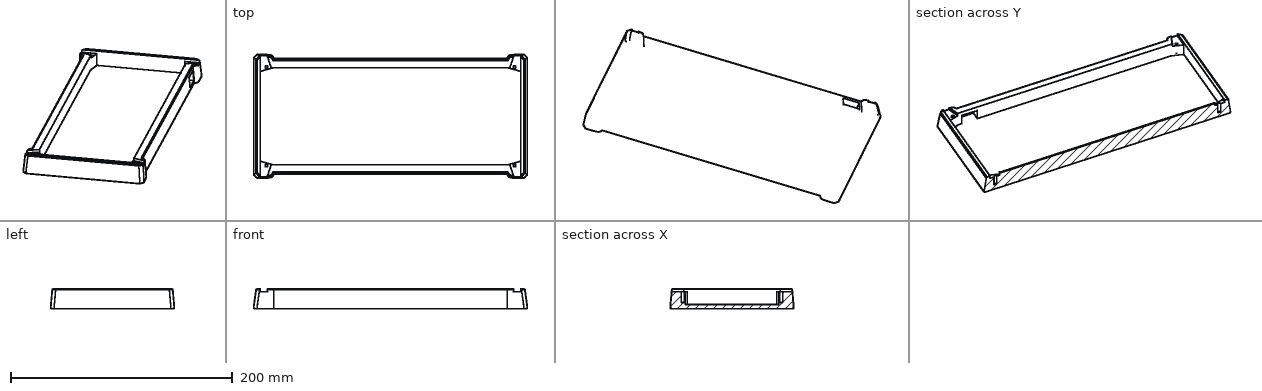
import cadquery as cq
import math

LENGTH = 246.9
WIDTH = 111.5
HEIGHT = 18.0

BASE_FILLET = 1.5
END_DRAFT = 8.0
SIDE_DRAFT = 5.0
CORNER_BEVEL = 3.2
RIM_CHAMFER = 0.86
RECESS_DEPTH = 3.5
RECESS_HALF_LENGTH = 105.2
LUG_SHOULDER = 1.7

FLOOR = 4.0
CAVITY_HALF_LENGTH = 117.3
CAVITY_HALF_WIDTH = 43.7
POST_LENGTH = 11.4
POST_WIDTH = 3.2

PAD_DEPTH = 2.5
PAD_LENGTH_OUTER = 5.7
PAD_LENGTH_INNER = 10.9
HOLE_X = 111.8
HOLE_Y = 44.5
HOLE_DIAMETER = 2.5
HOLE_DEPTH = 9.9

OPENING_START = -103.2
OPENING_LENGTH = 15.5
OPENING_TOP = 13.5

CORNERS = [(sx, sy) for sx in (-1, 1) for sy in (-1, 1)]


def outline(height, half_length, half_width):
    """Closed plan outline of the tray at one height."""
    wall_y = half_width - RECESS_DEPTH
    bevel_x = half_length - CORNER_BEVEL
    bevel_y = half_width - CORNER_BEVEL
    recess_end = (RECESS_HALF_LENGTH, wall_y)
    shoulder = (RECESS_HALF_LENGTH + LUG_SHOULDER, half_width)
    lug_curve = [(bevel_x, half_width), shoulder, shoulder, recess_end]

    sketch = cq.Workplane("XY", origin=(0, 0, height)).moveTo(-half_length, bevel_y)
    for turn in (-1, 1):
        incoming = [(turn * x, turn * y) for x, y in lug_curve]
        outgoing = [(-turn * x, turn * y) for x, y in reversed(lug_curve)]
        sketch = (
            sketch.lineTo(turn * half_length, turn * bevel_y)
            .lineTo(*incoming[0])
            .bezier(incoming)
            .lineTo(*outgoing[0])
            .bezier(outgoing)
            .lineTo(-turn * half_length, turn * bevel_y)
        )
    return sketch.wire()


def sharp_base(half_size, draft):
    """Half size of the unfilleted base so that the filleted wall bulges out to half_size."""
    fillet_setback = BASE_FILLET / math.tan(math.radians(90 - draft) / 2)
    return half_size - BASE_FILLET + fillet_setback


def outer_body():
    """Solid block with drafted walls, a filleted base and a chamfered rim."""
    base_length = sharp_base(LENGTH / 2, END_DRAFT)
    base_width = sharp_base(WIDTH / 2, SIDE_DRAFT)
    top_length = base_length - HEIGHT * math.tan(math.radians(END_DRAFT))
    top_width = base_width - HEIGHT * math.tan(math.radians(SIDE_DRAFT))

    base_wire = outline(0, base_length, base_width).val()
    top_wire = outline(HEIGHT, top_length, top_width).val()
    walls = cq.Workplane(cq.Solid.makeLoft([base_wire, top_wire], True))
    return walls.faces("<Z").edges().fillet(BASE_FILLET).faces(">Z").chamfer(RIM_CHAMFER)


def cavity():
    """Pocket whose four corners are cut off by the corner posts."""
    post_x = CAVITY_HALF_LENGTH - POST_LENGTH
    post_y = CAVITY_HALF_WIDTH - POST_WIDTH
    quarter = [(CAVITY_HALF_LENGTH, post_y), (post_x, CAVITY_HALF_WIDTH)]
    mirrored = [(-x, y) for x, y in reversed(quarter)]
    half = quarter + mirrored
    points = half + [(-x, -y) for x, y in half]
    return cq.Workplane("XY", origin=(0, 0, FLOOR)).polyline(points).close().extrude(HEIGHT)


def corner_pad(sx, sy):
    """Sunken pad on top of a corner post, open to the outside and to the cavity."""
    inner_y = CAVITY_HALF_WIDTH - POST_WIDTH
    outer_y = WIDTH / 2
    points = [
        (CAVITY_HALF_LENGTH, inner_y),
        (CAVITY_HALF_LENGTH, outer_y),
        (CAVITY_HALF_LENGTH - PAD_LENGTH_OUTER, outer_y),
        (CAVITY_HALF_LENGTH - PAD_LENGTH_INNER, inner_y),
    ]
    pad_floor = HEIGHT - PAD_DEPTH
    plane = cq.Workplane("XY", origin=(0, 0, pad_floor))
    pad = plane.polyline([(sx * x, sy * y) for x, y in points]).close().extrude(HEIGHT)
    hole = plane.center(sx * HOLE_X, sy * HOLE_Y).circle(HOLE_DIAMETER / 2).extrude(-HOLE_DEPTH)
    return pad.union(hole)


def wall_opening():
    """Rectangular opening through the +Y wall, level with the cavity floor."""
    size = (OPENING_LENGTH, WIDTH / 2, OPENING_TOP - FLOOR)
    return cq.Workplane("XY", origin=(OPENING_START, 0, FLOOR)).box(*size, centered=False)


result = outer_body().cut(cavity()).cut(wall_opening())
for sx, sy in CORNERS:
    result = result.cut(corner_pad(sx, sy))